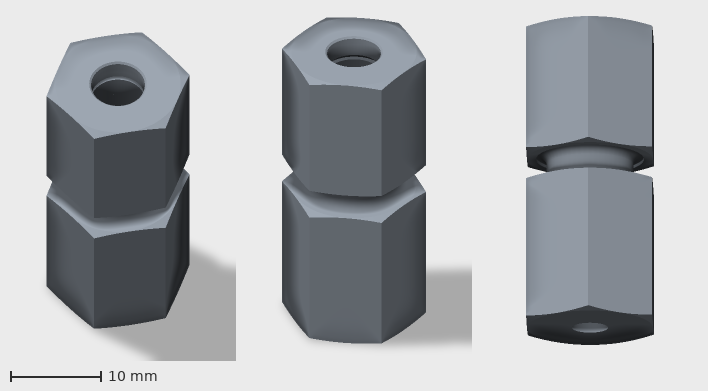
import cadquery as cq
import math

total_height = 34.0
across_flats = 14.0
across_corners = across_flats / math.cos(math.radians(30))

face_diameter = 13.95
cone_angle = 15.0

body_hex_top = 16.5
nut_bottom = 19.45
shank_top = 28.55
socket_floor = 22.1
nut_mouth_depth = 2.35
seat_top = total_height - nut_mouth_depth

passage_diameter = 4.0
tube_diameter = 6.0
ring_face_diameter = 7.15
ring_diameter = 8.9
neck_diameter = 9.7
shank_diameter = 12.0

neck_fillet = 1.0
neck_end = 19.8
mouth_chamfer = 0.2


def cylinder(diameter, bottom, top):
    """Cylinder on the Z axis between two heights."""
    return cq.Workplane("XY", origin=(0, 0, bottom)).circle(diameter / 2).extrude(top - bottom)


def hexagon(bottom, top):
    """Hexagonal prism with corners on Y and both ends turned to a cone."""
    prism = (
        cq.Workplane("XY", origin=(0, 0, bottom))
        .polygon(6, across_corners)
        .extrude(top - bottom)
        .rotate((0, 0, 0), (0, 0, 1), 30)
    )
    face_radius = face_diameter / 2
    corner_radius = across_corners / 2
    drop = (corner_radius - face_radius) * math.tan(math.radians(cone_angle))
    envelope = (
        cq.Workplane("XZ")
        .moveTo(0, bottom)
        .lineTo(face_radius, bottom)
        .lineTo(corner_radius, bottom + drop)
        .lineTo(corner_radius, top - drop)
        .lineTo(face_radius, top)
        .lineTo(0, top)
        .close()
        .revolve(360, (0, 0, 0), (0, 1, 0))
    )
    return prism.intersect(envelope)


def make_shank():
    """Round shank with a waist that is filleted at both ends."""
    neck_radius = neck_diameter / 2
    shank_radius = shank_diameter / 2
    fillet_radius = neck_radius + neck_fillet
    diagonal = neck_fillet * math.sqrt(0.5)
    return (
        cq.Workplane("XZ")
        .moveTo(0, body_hex_top)
        .lineTo(fillet_radius, body_hex_top)
        .threePointArc(
            (fillet_radius - diagonal, body_hex_top + neck_fillet - diagonal),
            (neck_radius, body_hex_top + neck_fillet),
        )
        .lineTo(neck_radius, neck_end - neck_fillet)
        .threePointArc(
            (fillet_radius - diagonal, neck_end - neck_fillet + diagonal),
            (fillet_radius, neck_end),
        )
        .lineTo(shank_radius, neck_end)
        .lineTo(shank_radius, shank_top)
        .lineTo(0, shank_top)
        .close()
        .revolve(360, (0, 0, 0), (0, 1, 0))
    )


def make_body():
    """Lower hexagon and shank with a passage and a wider tube socket above it."""
    outside = hexagon(0, body_hex_top).union(make_shank())
    return outside.cut(cylinder(passage_diameter, 0, shank_top)).cut(
        cylinder(tube_diameter, socket_floor, shank_top)
    )


def seat_plug(face_diameter_at_top):
    """Cylinder above the shank whose top follows the 45 degree seat up to the given diameter."""
    top_radius = face_diameter_at_top / 2
    ring_radius = ring_diameter / 2
    seat_bottom = seat_top - (ring_diameter - tube_diameter) / 2
    face_height = seat_bottom + ring_radius - top_radius
    return (
        cq.Workplane("XZ")
        .moveTo(0, shank_top)
        .lineTo(ring_radius, shank_top)
        .lineTo(ring_radius, seat_bottom)
        .lineTo(top_radius, face_height)
        .lineTo(0, face_height)
        .close()
        .revolve(360, (0, 0, 0), (0, 1, 0))
    )


def make_nut():
    """Upper hexagon with a socket for the shank, a conical seat and a chamfered mouth."""
    nut = (
        hexagon(nut_bottom, total_height)
        .cut(cylinder(shank_diameter, nut_bottom, shank_top))
        .cut(seat_plug(tube_diameter))
        .cut(cylinder(tube_diameter, seat_top, total_height))
    )
    mouth_edge = cq.selectors.RadiusNthSelector(0)
    return nut.faces(">Z").edges("%CIRCLE").edges(mouth_edge).chamfer(mouth_chamfer)


def make_ring():
    """Clamping ring held between the shank and the conical seat of the nut."""
    return seat_plug(ring_face_diameter).cut(cylinder(tube_diameter, shank_top, seat_top))


body = make_body()
nut = make_nut()
ring = make_ring()

result = cq.Compound.makeCompound([body.val(), nut.val(), ring.val()])